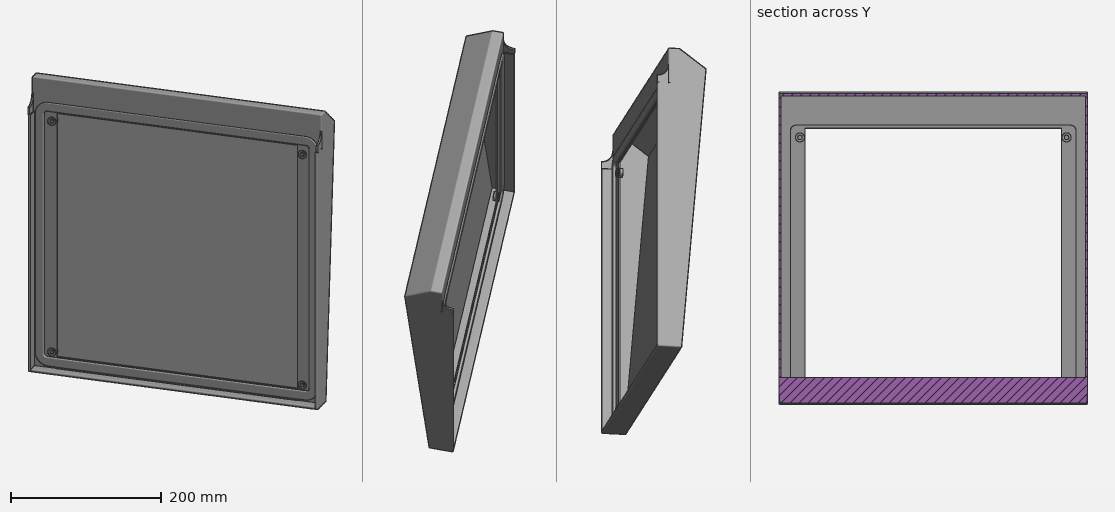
import cadquery as cq
width = 410.0
depth = 66.0
height = 415.0
side_x = width / 2
front_y = -depth / 2
top_z = height / 2
bottom_z = -height / 2
face_y = -18.0
ridge_y = -3.0
shoulder_y = 33.1
shoulder_z = 181.0
heel_y = 0.0
wall = 3.0
edge_round = 2.0

rim = 4.0
nose_thickness = 2.5
rim_root_y = -12.0
rim_top_z = 159.0
nose_front_z = 169.0
nose_radius = face_y - front_y
ledge_round = 1.9

cover_width = 400.0
cover_top_z = 173.8
cover_bottom_z = -201.5
cover_height = cover_top_z - cover_bottom_z
cover_mid_z = (cover_top_z + cover_bottom_z) / 2
cover_corner = 18.0
cover_proud = 2.0
cover_round = 1.5
tongue_proud = 1.0
flange_y = face_y - cover_proud

tray_width = 375.0
tray_height = 350.0
tray_corner = 5.0
tray_wall = 2.0
tray_floor_y = -16.5
tray_floor_thickness = 2.0
tray_back_y = tray_floor_y + tray_floor_thickness
window_width = 340.0
window_top_z = 159.0
window_bottom_z = -187.5

screw_x = 177.0
screw_z_levels = (147.0, -181.5)
head_diameter = 11.5
head_height = 1.5
socket_diameter = 5.0
socket_depth = 1.0
shank_diameter = 6.0
boss_diameter = 12.0
boss_end_y = -10.0


def block(x_size, y_start, y_end, z_low, z_high):
    """Box centred on X between the given Y and Z limits."""
    return (
        cq.Workplane("XY")
        .box(x_size, y_end - y_start, z_high - z_low, centered=(True, False, False))
        .translate((0, y_start, z_low))
    )


def rounded_plate(x_size, z_size, corner, y_start, y_end):
    """Plate in the XZ plane around the cover centre, with rounded corners."""
    return (
        block(x_size, y_start, y_end, cover_mid_z - z_size / 2, cover_mid_z + z_size / 2)
        .edges("|Y")
        .fillet(corner)
    )


def screw_cylinder(diameter, y_start, y_end, x, z):
    """Cylinder along Y on one screw axis."""
    return (
        cq.Workplane("XZ", origin=(x, y_start, z))
        .circle(diameter / 2)
        .extrude(y_start - y_end)
    )


screw_points = [(x, z) for x in (-screw_x, screw_x) for z in screw_z_levels]


def side_profile():
    """Side outline of the housing behind its recessed face."""
    corners = [
        (face_y, bottom_z),
        (face_y, top_z),
        (ridge_y, top_z),
        (shoulder_y, shoulder_z),
        (heel_y, bottom_z),
    ]
    return cq.Workplane("YZ").polyline(corners).close()


def housing_wedge():
    """Solid wedge with all its edges rounded."""
    return side_profile().extrude(side_x, both=True).edges().fillet(edge_round)


def housing_cavity():
    """Inside of the wedge, one wall thickness in from every face."""
    return side_profile().offset2D(-wall, "intersection").extrude(side_x - wall, both=True)


def rims():
    """U-shaped rim: two side walls and the bottom ledge."""
    solid = block(width, front_y, rim_root_y, bottom_z, rim_top_z)
    solid = solid.edges("(<Y and (<X or >X or <Z)) or (<Z and (<X or >X))").fillet(edge_round)
    ledge_z = bottom_z + rim
    solid = solid.cut(block(width - 2 * rim, front_y, face_y, ledge_z, rim_top_z))
    ledge_edge = cq.selectors.BoxSelector(
        (-side_x / 2, front_y - 1, ledge_z - 1), (side_x / 2, front_y + 1, ledge_z + 1)
    )
    return solid.edges(ledge_edge).fillet(ledge_round)


def rim_nose(x_start):
    """Top end of a side rim, swept up to the face by a concave arc."""
    arc_center_z = nose_front_z + nose_radius
    diagonal = nose_radius * 0.5 ** 0.5
    return (
        cq.Workplane("YZ", origin=(x_start, 0, 0))
        .moveTo(face_y, rim_top_z)
        .lineTo(front_y, rim_top_z)
        .lineTo(front_y, nose_front_z)
        .threePointArc((front_y + diagonal, arc_center_z - diagonal), (face_y, arc_center_z))
        .close()
        .extrude(nose_thickness)
    )


def make_housing():
    body = housing_wedge().union(rims())
    for x_start in (-side_x, side_x - nose_thickness):
        body = body.union(rim_nose(x_start))
    body = body.cut(housing_cavity())
    opening = rounded_plate(
        tray_width + 2 * tray_wall,
        tray_height + 2 * tray_wall,
        tray_corner + tray_wall,
        face_y,
        tray_back_y,
    )
    return body.cut(opening)


def make_cover():
    body = rounded_plate(cover_width, cover_height, cover_corner, flange_y, face_y)
    body = body.faces("<Y").edges().fillet(cover_round)
    tongue_front_y = face_y - tongue_proud
    tongue = block(window_width, tongue_front_y, face_y, bottom_z + rim, cover_bottom_z + cover_round)
    body = body.union(tongue)
    tray = rounded_plate(
        tray_width + 2 * tray_wall,
        tray_height + 2 * tray_wall,
        tray_corner + tray_wall,
        face_y,
        tray_back_y,
    )
    body = body.union(tray)
    body = body.cut(rounded_plate(tray_width, tray_height, tray_corner, flange_y, tray_floor_y))
    tray_mouth = cq.selectors.BoxSelector(
        (-tray_width / 2 - 1, flange_y - 1, cover_mid_z - tray_height / 2 - 1),
        (tray_width / 2 + 1, flange_y + 1, cover_mid_z + tray_height / 2 + 1),
    )
    body = body.edges(tray_mouth).fillet(cover_round)
    for x, z in screw_points:
        body = body.union(screw_cylinder(boss_diameter, tray_floor_y, boss_end_y, x, z))
    window = block(window_width, flange_y, tray_back_y, window_bottom_z, window_top_z)
    body = body.cut(window)
    for x, z in screw_points:
        body = body.cut(screw_cylinder(shank_diameter, tray_floor_y, boss_end_y, x, z))
    return body


def make_screw(x, z):
    head_y = tray_floor_y - head_height
    head = screw_cylinder(head_diameter, head_y, tray_floor_y, x, z)
    shank = screw_cylinder(shank_diameter, tray_floor_y, boss_end_y, x, z)
    socket = screw_cylinder(socket_diameter, head_y, head_y + socket_depth, x, z)
    return head.union(shank).cut(socket)


housing = make_housing()
cover = make_cover()
screws = [make_screw(x, z) for x, z in screw_points]

result = cq.Compound.makeCompound(
    [housing.val(), cover.val(), *[screw.val() for screw in screws]]
)